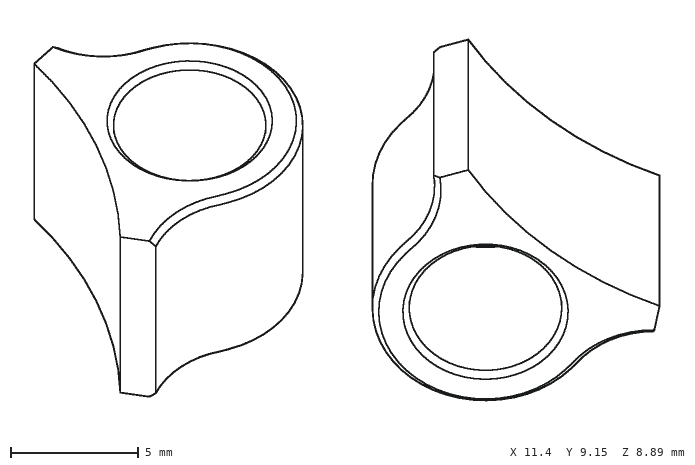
import cadquery as cq
import math

height = 8.89
barrel_radius = 4.45
bore_radius = 3.0
chamfer = 0.25
straight_drop = 0.31
flare_radius = 3.75
foot_half_width = 5.72
foot_corner_y = -3.47
toe_half_width = 4.98
toe_y = -4.7
saddle_radius = 16.0

flare_run = foot_half_width - barrel_radius
flare_drop = -straight_drop - foot_corner_y
flare_chord = math.hypot(flare_run, flare_drop)
flare_sagitta = flare_radius - math.sqrt(flare_radius**2 - (flare_chord / 2) ** 2)
flare_mid_x = barrel_radius + flare_run / 2 - flare_sagitta * flare_drop / flare_chord
flare_mid_y = -straight_drop - flare_drop / 2 - flare_sagitta * flare_run / flare_chord

saddle_rise = saddle_radius - math.sqrt(saddle_radius**2 - toe_half_width**2)
saddle_crown_y = toe_y + saddle_rise


def make_body():
    """Extrude the barrel with its two flared feet, centred on the bore axis."""
    return (
        cq.Workplane("XY")
        .moveTo(-barrel_radius, 0)
        .threePointArc((0, barrel_radius), (barrel_radius, 0))
        .lineTo(barrel_radius, -straight_drop)
        .threePointArc((flare_mid_x, flare_mid_y), (foot_half_width, foot_corner_y))
        .lineTo(toe_half_width, toe_y)
        .threePointArc((0, saddle_crown_y), (-toe_half_width, toe_y))
        .lineTo(-foot_half_width, foot_corner_y)
        .threePointArc((-flare_mid_x, flare_mid_y), (-barrel_radius, -straight_drop))
        .close()
        .extrude(height)
    )


def chamfer_outer_rims(body):
    """Chamfer the barrel, flanks and flares at both ends; feet and saddle stay sharp."""
    rims = body.faces("<Z or >Z").edges().filter(
        lambda edge: edge.Center().y > (foot_corner_y + saddle_crown_y) / 2
    )
    return rims.chamfer(chamfer)


def make_bore_cutter():
    """Through bore with a conical lead-in at each end."""
    mouth_radius = bore_radius + chamfer
    return (
        cq.Workplane("XZ")
        .polyline([
            (0, 0),
            (mouth_radius, 0),
            (bore_radius, chamfer),
            (bore_radius, height - chamfer),
            (mouth_radius, height),
            (0, height),
        ])
        .close()
        .revolve(360, (0, 0), (0, 1))
    )


result = chamfer_outer_rims(make_body()).cut(make_bore_cutter())